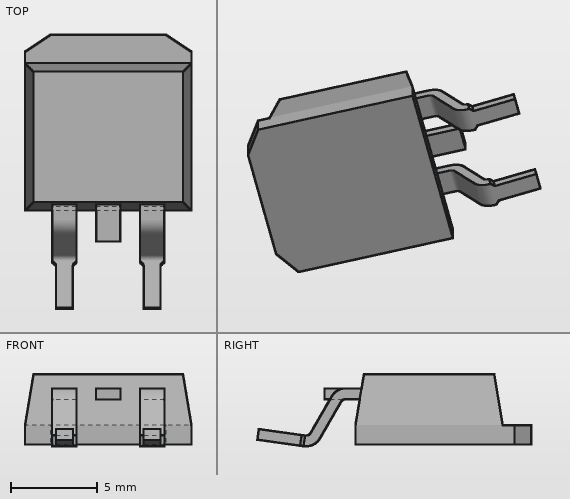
import cadquery as cq
import math

BODY_WIDTH = 9.65
BODY_LENGTH = 8.55
BODY_HEIGHT = 4.08
BASE_HEIGHT = 1.13
TAPER_INSET = 0.5
TAB_END = 10.2
TAB_CORNER_X = 1.48
TAB_CORNER_Y = 0.98

LEAD_PITCH = 2.54
LEAD_WIDTH = 1.41
LEAD_THICKNESS = 0.64
LEAD_TOP = 3.25
LEAD_ROOT = 0.8
CENTER_LEAD_LENGTH = 1.8
BEND_START = 0.55
INNER_RADIUS = 0.32
OUTER_RADIUS = INNER_RADIUS + LEAD_THICKNESS
SLOPE_ANGLE = 60
FOOT_ANGLE = 8
LEAD_DROP = 0.11
FOOT_WIDTH = 0.98
NECK_LENGTH = 0.2
LEAD_REACH = 15.88 - TAB_END

mid_radius = (INNER_RADIUS + OUTER_RADIUS) / 2
slope = math.radians(SLOPE_ANGLE)
upper_center = (-BEND_START, LEAD_TOP - OUTER_RADIUS)
lower_center_z = OUTER_RADIUS - LEAD_DROP
slope_drop = upper_center[1] - lower_center_z + 2 * mid_radius * math.cos(slope)
slope_run = slope_drop / math.tan(slope)
lower_center_y = upper_center[0] - slope_run - 2 * mid_radius * math.sin(slope)
lower_center = (lower_center_y, lower_center_z)


def on_circle(center, radius, degrees):
    """Point (y, z) on a bend circle; angles run from +Y towards +Z."""
    angle = math.radians(degrees)
    return (center[0] + radius * math.cos(angle), center[1] + radius * math.sin(angle))


def make_body():
    half = BODY_WIDTH / 2
    slab = (
        cq.Workplane("XY")
        .moveTo(-half, 0)
        .lineTo(half, 0)
        .lineTo(half, TAB_END - TAB_CORNER_Y)
        .lineTo(half - TAB_CORNER_X, TAB_END)
        .lineTo(-half + TAB_CORNER_X, TAB_END)
        .lineTo(-half, TAB_END - TAB_CORNER_Y)
        .close()
        .extrude(BASE_HEIGHT)
    )
    cover = (
        cq.Workplane("XY", origin=(0, BODY_LENGTH / 2, BASE_HEIGHT))
        .rect(BODY_WIDTH, BODY_LENGTH)
        .workplane(offset=BODY_HEIGHT - BASE_HEIGHT)
        .rect(BODY_WIDTH - 2 * TAPER_INSET, BODY_LENGTH - 2 * TAPER_INSET)
        .loft(ruled=True)
    )
    return slab.union(cover)


def make_center_lead():
    length = LEAD_ROOT + CENTER_LEAD_LENGTH
    return (
        cq.Workplane("XY")
        .box(LEAD_WIDTH, length, LEAD_THICKNESS, centered=(True, False, False))
        .translate((0, -CENTER_LEAD_LENGTH, LEAD_TOP - LEAD_THICKNESS))
    )


def make_bent_lead():
    upper_end = 90 + SLOPE_ANGLE
    upper_middle = 90 + SLOPE_ANGLE / 2
    lower_start = -90 + SLOPE_ANGLE
    lower_end = -90 - FOOT_ANGLE
    lower_middle = (lower_start + lower_end) / 2

    wide_part = (
        cq.Workplane("YZ")
        .moveTo(LEAD_ROOT, LEAD_TOP)
        .lineTo(*on_circle(upper_center, OUTER_RADIUS, 90))
        .threePointArc(
            on_circle(upper_center, OUTER_RADIUS, upper_middle),
            on_circle(upper_center, OUTER_RADIUS, upper_end),
        )
        .lineTo(*on_circle(lower_center, INNER_RADIUS, lower_start))
        .threePointArc(
            on_circle(lower_center, INNER_RADIUS, lower_middle),
            on_circle(lower_center, INNER_RADIUS, lower_end),
        )
        .lineTo(*on_circle(lower_center, OUTER_RADIUS, lower_end))
        .threePointArc(
            on_circle(lower_center, OUTER_RADIUS, lower_middle),
            on_circle(lower_center, OUTER_RADIUS, lower_start),
        )
        .lineTo(*on_circle(upper_center, INNER_RADIUS, upper_end))
        .threePointArc(
            on_circle(upper_center, INNER_RADIUS, upper_middle),
            on_circle(upper_center, INNER_RADIUS, 90),
        )
        .lineTo(LEAD_ROOT, LEAD_TOP - LEAD_THICKNESS)
        .close()
        .extrude(LEAD_WIDTH / 2, both=True)
    )

    tilt = math.radians(FOOT_ANGLE)
    foot_start = on_circle(lower_center, mid_radius, lower_end)
    tip_y = -LEAD_REACH + LEAD_THICKNESS / 2 * math.sin(tilt)
    foot_length = (foot_start[0] - tip_y) / math.cos(tilt)
    foot_plane = cq.Plane(
        origin=(0, *foot_start), xDir=(1, 0, 0), normal=(0, math.sin(tilt), math.cos(tilt))
    )
    foot = (
        cq.Workplane(foot_plane)
        .moveTo(-LEAD_WIDTH / 2, 0)
        .lineTo(-FOOT_WIDTH / 2, -NECK_LENGTH)
        .lineTo(-FOOT_WIDTH / 2, -foot_length)
        .lineTo(FOOT_WIDTH / 2, -foot_length)
        .lineTo(FOOT_WIDTH / 2, -NECK_LENGTH)
        .lineTo(LEAD_WIDTH / 2, 0)
        .close()
        .extrude(LEAD_THICKNESS / 2, both=True)
    )
    return wide_part.union(foot)


result = make_body().union(make_center_lead())
bent_lead = make_bent_lead()
for side in (-1, 1):
    result = result.union(bent_lead.translate((side * LEAD_PITCH, 0, 0)))